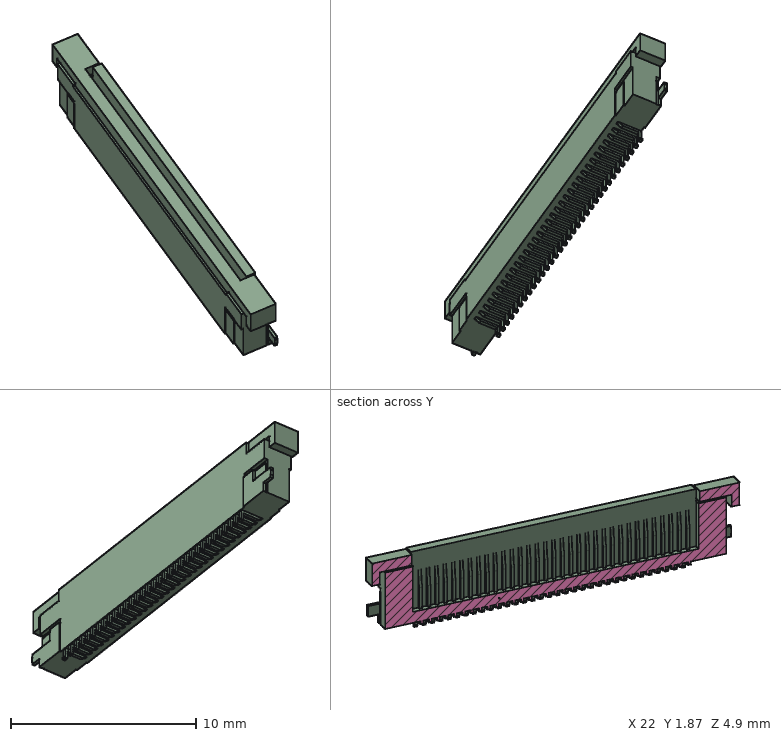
import cadquery as cq


housing_half_length = 10.2
housing_rear = 1.8
housing_top = -0.73
housing_bottom = -4.2
ledge_half_length = 8.5
ledge_top = -0.87

tongue_half_length = 8.53
tongue_front = 1.24
slot_front = 0.83
slot_bottom = -3.5

lever_half_length = 11.0
lever_front = 0.13
lever_rear = 1.69
lever_underside = -0.67
lever_leg_width = 0.5
lever_leg_bottom = -1.4
lever_opening_half_length = 8.61

recess_inner = 8.38
recess_top = -2.0
recess_front = 0.13
recess_rear = 1.57
panel_outer = 9.24
panel_front = 0.055
rear_panel_outer = 10.17
panel_top = -2.26

plate_front = 1.69
plate_rear = 1.87
ear_end = 10.85
ear_top = -3.0
ear_bottom = -3.65
nub_length = 0.01
nub_height = 0.32

contact_count = 33
contact_pitch = 0.5
contact_width = 0.18
contact_tip_depth = 0.13
contact_tip_top = -1.2
contact_tip_taper = 1.0
contact_nose = 0.36
contact_bevel = 0.3
contact_arm_bottom = -4.38
foot_front = 1.65
foot_back = 1.81
toe_front = 1.7
toe_rear = plate_rear
toe_height = 0.1
part_bottom = -4.9


def block(x_range, y_range, z_range):
    """Box between pairs of limits, given in either order."""
    ranges = (x_range, y_range, z_range)
    sizes = [abs(high - low) for low, high in ranges]
    corner = tuple(min(limits) for limits in ranges)
    return cq.Workplane("XY").box(*sizes, centered=False).translate(corner)


def centred_block(half_length, y_range, z_range):
    return block((-half_length, half_length), y_range, z_range)


def make_housing():
    body = centred_block(housing_half_length, (0, housing_rear), (housing_bottom, housing_top))
    ledge = centred_block(ledge_half_length, (0, slot_front), (ledge_top, housing_top))
    tongue = centred_block(tongue_half_length, (tongue_front, housing_rear), (housing_top, 0))
    slot = centred_block(tongue_half_length, (slot_front, tongue_front), (slot_bottom, housing_top))
    body = body.cut(ledge).union(tongue).cut(slot)
    recess_height = (housing_bottom, recess_top)
    panel_height = (housing_bottom, panel_top)
    for side in (-1, 1):
        recess_x = (side * recess_inner, side * housing_half_length)
        panel_x = (side * recess_inner, side * panel_outer)
        body = body.cut(block(recess_x, (0, recess_front), recess_height))
        body = body.cut(block(recess_x, (recess_rear, housing_rear), recess_height))
        body = body.union(block(panel_x, (panel_front, recess_front), panel_height))
        rear_panel_x = (side * recess_inner, side * rear_panel_outer)
        body = body.union(block(rear_panel_x, (recess_rear, plate_front), panel_height))
    return body


def make_lever():
    depth = (lever_front, lever_rear)
    lever = centred_block(lever_half_length, depth, (lever_underside, 0))
    lip = centred_block(ledge_half_length, (lever_front, slot_front), (ledge_top, lever_underside))
    opening = centred_block(lever_opening_half_length, (slot_front, lever_rear), (lever_underside, 0))
    lever = lever.union(lip).cut(opening)
    for side in (-1, 1):
        leg_x = (side * (lever_half_length - lever_leg_width), side * lever_half_length)
        lever = lever.union(block(leg_x, depth, (lever_leg_bottom, lever_underside)))
    return lever


def make_solder_plate(side):
    depth = (plate_front, plate_rear)
    inner = side * recess_inner
    plate = block((inner, side * panel_outer), depth, (housing_bottom, panel_top))
    base = block((inner, side * housing_half_length), depth, (housing_bottom, ear_bottom))
    ear = block((inner, side * ear_end), depth, (ear_bottom, ear_top))
    nub_middle = (ear_top + ear_bottom) / 2
    nub_limits = (nub_middle - nub_height / 2, nub_middle + nub_height / 2)
    nub = block((side * ear_end, side * (ear_end + nub_length)), depth, nub_limits)
    return plate.union(base).union(ear).union(nub)


def make_contact():
    """Contact at mid-length: arm under the housing, stepped foot and tapered slot tip."""
    toe_top = part_bottom + toe_height
    profile = [
        (contact_nose, housing_bottom),
        (contact_nose + contact_bevel, contact_arm_bottom),
        (foot_front, contact_arm_bottom),
        (foot_front, toe_top),
        (toe_front, toe_top),
        (toe_front, part_bottom),
        (toe_rear, part_bottom),
        (toe_rear, toe_top),
        (foot_back, toe_top),
        (foot_back, housing_bottom),
    ]
    half_width = contact_width / 2
    tail = cq.Workplane("YZ").polyline(profile).close().extrude(half_width, both=True)
    tip_front = tongue_front - contact_tip_depth
    tip_profile = [
        (tongue_front, slot_bottom),
        (tongue_front, contact_tip_top),
        (tip_front, contact_tip_top - contact_tip_taper),
        (tip_front, slot_bottom),
    ]
    tip = cq.Workplane("YZ").polyline(tip_profile).close().extrude(half_width, both=True)
    return tail, tip


result = make_housing().union(make_lever())
for end in (-1, 1):
    result = result.union(make_solder_plate(end))

contact_tail, contact_tip = make_contact()
for index in range(contact_count):
    contact_x = (index - (contact_count - 1) / 2) * contact_pitch
    offset = (contact_x, 0, 0)
    result = result.union(contact_tail.translate(offset)).union(contact_tip.translate(offset))